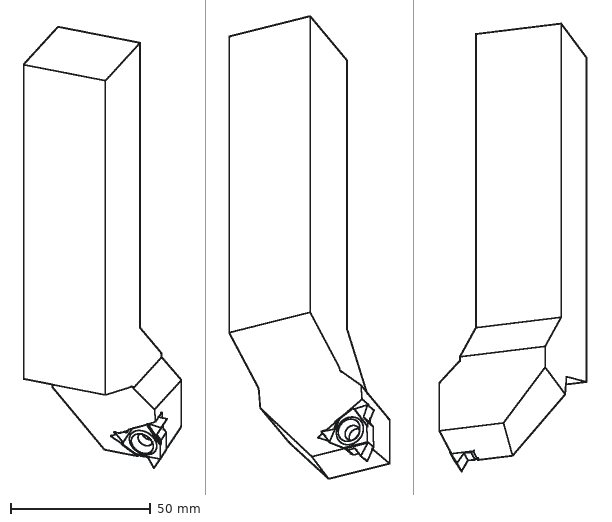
import cadquery as cq
import math

LENGTH = 171.0
TILT = 10.0
SIN_TILT = math.sin(math.radians(TILT))
COS_TILT = math.cos(math.radians(TILT))
TAN_TILT = math.tan(math.radians(TILT))

SHANK = 32.0
HEAD_WIDTH = 39.7
HEAD_BACK = 51.8
HEAD_BACK_TOP = 36.0
SHANK_BACK_END = HEAD_BACK_TOP + HEAD_BACK - SHANK
SHANK_FRONT_END = 44.0
NECK_Y = 25.5
NECK_Z = 35.2
NECK_RADIUS = 1.5
TOE_Y = 31.0
TOE_Z = NECK_Z - (TOE_Y - NECK_Y) / TAN_TILT
HEEL_Z = TOE_Z + (HEAD_BACK - TOE_Y) * TAN_TILT
SHOULDER_TOP = 34.4
SHOULDER_BOTTOM = SHOULDER_TOP - (HEAD_WIDTH - SHANK)
BEVEL_TOP = 27.7
BEVEL_WIDTH = 18.3
BEVEL_BOTTOM = 4.5
SHANK_CHAMFER = 0.2

TIP = (3.5, -10.8)
TOOTH_ROOT_A = (1.0, -6.8)
TOOTH_ROOT_B = (6.3, -5.8)
SIDE_CORNER = (6.8, 2.0)
TEETH = 3
INSERT_THICKNESS = 5.6
INSERT_RECESS = 0.3
HOLE_DIAMETER = 5.6
COLLAR_DIAMETER = 10.6
COLLAR_HEIGHT = 0.7
SINK_DIAMETER = 8.5
SINK_DEPTH = 2.7
RAKE_START = 6.0
POCKET_APEX = (-12.5, 0.3)
POCKET_REACH = 51.3
POCKET_HALF_ANGLE = 30.0
POCKET_DEPTH = INSERT_THICKNESS + INSERT_RECESS

INSERT_X = 33.9
INSERT_Z = -TIP[1] * COS_TILT - INSERT_RECESS * SIN_TILT
INSERT_Y = TOE_Y - (INSERT_Z - TOE_Z) * TAN_TILT


def face_plane(depth):
    """Plane parallel to the head face, the given depth below it, centred on the insert."""
    origin = (INSERT_X, INSERT_Y + depth * COS_TILT, INSERT_Z + depth * SIN_TILT)
    return cq.Plane(origin=origin, xDir=(1, 0, 0), normal=(0, -COS_TILT, -SIN_TILT))


def turned(point, angle):
    """Turn a 2D point about the insert centre by an angle in degrees."""
    a = math.radians(angle)
    u, v = point
    return (u * math.cos(a) - v * math.sin(a), u * math.sin(a) + v * math.cos(a))


def insert_outline():
    tooth = [TOOTH_ROOT_A, TIP, TOOTH_ROOT_B, SIDE_CORNER]
    return [turned(p, i * 360 / TEETH) for i in range(TEETH) for p in tooth]


def make_pocket():
    """Seat for the insert: a 60 degree corner with clearance for the cutting teeth."""
    floor = face_plane(POCKET_DEPTH)
    u, v = POCKET_APEX
    rise = POCKET_REACH * math.tan(math.radians(POCKET_HALF_ANGLE))
    corner = [(u, v), (u + POCKET_REACH, v - rise), (u + POCKET_REACH, v + rise)]
    seat = cq.Workplane(floor).polyline(corner).close().extrude(POCKET_DEPTH)
    relief = cq.Workplane(floor).polyline(insert_outline()).close().extrude(POCKET_DEPTH)
    return seat.union(relief)


def make_holder():
    """Square shank with a cranked head, trimmed to the head's front outline."""
    side = (
        cq.Workplane("YZ")
        .moveTo(0, LENGTH)
        .lineTo(SHANK, LENGTH)
        .lineTo(SHANK, SHANK_BACK_END)
        .lineTo(HEAD_BACK, HEAD_BACK_TOP)
        .lineTo(HEAD_BACK, HEEL_Z)
        .lineTo(TOE_Y, TOE_Z)
        .lineTo(NECK_Y, NECK_Z)
        .lineTo(0, SHANK_FRONT_END)
        .close()
        .extrude(HEAD_WIDTH)
    )
    neck_edge = cq.selectors.NearestToPointSelector((HEAD_WIDTH / 2, NECK_Y, NECK_Z))
    side = side.edges(neck_edge).fillet(NECK_RADIUS)
    bevel_slope = BEVEL_WIDTH / (BEVEL_TOP - BEVEL_BOTTOM)
    front = (
        cq.Workplane("XZ")
        .moveTo(0, LENGTH)
        .lineTo(SHANK, LENGTH)
        .lineTo(SHANK, SHOULDER_TOP)
        .lineTo(HEAD_WIDTH, SHOULDER_BOTTOM)
        .lineTo(HEAD_WIDTH, 0)
        .lineTo(BEVEL_TOP * bevel_slope, 0)
        .lineTo(0, BEVEL_TOP)
        .close()
        .extrude(-HEAD_BACK)
    )
    corner_edge = cq.selectors.NearestToPointSelector((0, 0, (LENGTH + SHANK_FRONT_END) / 2))
    body = side.intersect(front).edges(corner_edge).chamfer(SHANK_CHAMFER)
    return body.cut(make_pocket())


def rake_cutter(index):
    """Wedge that slopes a tooth's top face down from its tip towards the insert centre."""
    tip_v = TIP[1]
    drop = (-tip_v - RAKE_START) * TAN_TILT
    width = 2 * max(TOOTH_ROOT_B[0], SIDE_CORNER[0])
    wedge = (
        cq.Workplane("YZ")
        .polyline([(tip_v, 0), (-RAKE_START, 0), (-RAKE_START, -drop)])
        .close()
        .extrude(width)
        .translate((TIP[0] - width / 2, 0, 0))
    )
    return wedge.rotate((0, 0, 0), (0, 0, 1), index * 360 / TEETH)


def make_insert():
    """Three-toothed cutting insert, modelled flat and then set into the head."""
    blank = cq.Workplane("XY").polyline(insert_outline()).close().extrude(-INSERT_THICKNESS)
    for index in range(TEETH):
        blank = blank.cut(rake_cutter(index))
    collar = cq.Solid.makeCone(COLLAR_DIAMETER / 2, SINK_DIAMETER / 2, COLLAR_HEIGHT)
    hole = cq.Workplane("XY").circle(HOLE_DIAMETER / 2).extrude(-INSERT_THICKNESS)
    sink = cq.Solid.makeCone(
        SINK_DIAMETER / 2,
        HOLE_DIAMETER / 2,
        SINK_DEPTH,
        pnt=(0, 0, COLLAR_HEIGHT),
        dir=(0, 0, -1),
    )
    insert = blank.union(cq.Workplane(collar)).cut(hole).cut(cq.Workplane(sink))
    return cq.Workplane(insert.solids().val().moved(cq.Location(face_plane(INSERT_RECESS))))


holder = make_holder()
insert = make_insert()
result = cq.Compound.makeCompound([holder.solids().val(), insert.val()])